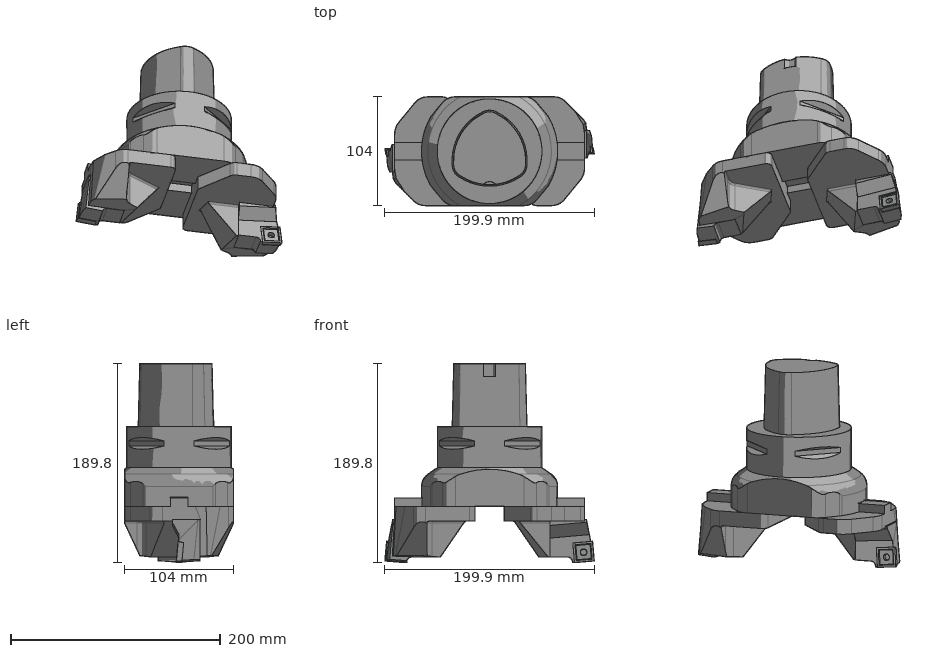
import cadquery as cq
import math


BIG = 300.0

SHANK_LENGTH = 60.0
SHANK_TAPER = math.degrees(math.atan(1 / 40))
LOBE_RADIUS = 13.75
LOBE_OFFSET = 25.4
SIDE_RADIUS = 72.5 - LOBE_RADIUS
NOTCH_RADIUS = 7.5
NOTCH_CENTRE_Y = -36.5
NOTCH_DEPTH = 12.0

FLANGE_RADIUS = 50.0
FLANGE_BOTTOM = -39.2
GRIP_FLOOR = 44.0
GRIP_Z = -16.0
GRIP_FLOOR_WIDTH = 4.8
GRIP_MOUTH_WIDTH = 11.2
GRIP_ANGLES = (45, 135, 225, 315)

HEAD_RADIUS = 65.0
HEAD_CORNER_Z = -49.5
HEAD_ROUNDING = 14.0
HEAD_BOTTOM = -76.0
HALF_WIDTH = 52.0
FACET_DISTANCE = 64.2
FACET_ANGLE = 40.0
CORNER_RADIUS = 16.0

KEY_WIDTH = 16.8
KEY_TOP = -68.0
GROOVE_CLEARANCE = 0.5

PLATE_INNER_X = 13.9
PLATE_OUTER_X = 90.7
PLATE_BOTTOM = -90.2
BEVEL_START_X = 66.6
BEVEL_END_Y = -22.6
BEVEL_END_RADIUS = 18.5
INNER_BEVEL_X = 41.5
INNER_BEVEL_Y = -20.0
INNER_BEVEL_RADIUS = 8.0
INNER_RADIUS = 5.4
BACK_CORNER_SUM = 119.8

ARM_BOTTOM = -124.5
ARM_FRONT_Y = -0.3
SLAB_FRONT_Y = -15.0
ARM_STOCK_X = 97.0
WEB_WALL_X = 59.7
WEB_WALL_Y = 40.3
WEB_ARC_RADIUS = 10.0
WEB_ANGLE = 30.0
WEB_INNER_X = 20.0
WEB_FILLET = 1.8

CARTRIDGE_INNER_X = 57.8
CARTRIDGE_FRONT_Y = -6.5
CARTRIDGE_BACK_Y = 20.0
CARTRIDGE_TOP = -88.5
CARTRIDGE_STOCK_X = 102.0
CARTRIDGE_STOCK_BOTTOM = -132.0
FOOT_X = 78.9
FOOT_ARC_RADIUS = 4.3

INSERT_SIDE = 19.05
INSERT_THICKNESS = 5.5
INSERT_RELIEF = 9.0
INSERT_CENTRE = (89.65, -1.9, -119.55)
INSERT_TILT = 5.0
INSERT_RAKE = 5.4
INSERT_PROUD = 0.3
RECESS_SIDE = 15.2
RECESS_DEPTH = 0.8
RECESS_WALL_TAPER = 45.0
SCREW_HOLE = 6.2


def trim(body, point, normal):
    """Remove everything on the side of a plane that its normal points to."""
    cutter = cq.Workplane(cq.Plane(origin=point, normal=normal)).rect(BIG, BIG).extrude(BIG)
    return body.cut(cutter)


def trim_through(body, p, q, r, kept):
    """Trim with the plane through points p, q and r, leaving the side where `kept` lies."""
    start = cq.Vector(*p)
    normal = (cq.Vector(*q) - start).cross(cq.Vector(*r) - start)
    if normal.dot(cq.Vector(*kept) - start) > 0:
        normal = -normal
    return trim(body, p, normal.toTuple())


def block(x0, x1, y0, y1, z0, z1):
    return cq.Workplane("XY").box(x1 - x0, y1 - y0, z1 - z0, centered=False).translate((x0, y0, z0))


def lobe_point(lobe_angle, arc_angle):
    """Point at arc_angle on the rounded lobe that lies at lobe_angle."""
    a = math.radians(lobe_angle)
    b = math.radians(arc_angle)
    return (
        LOBE_OFFSET * math.cos(a) + LOBE_RADIUS * math.cos(b),
        LOBE_OFFSET * math.sin(a) + LOBE_RADIUS * math.sin(b),
    )


def side_middle(angle):
    reach = SIDE_RADIUS - LOBE_OFFSET
    a = math.radians(angle)
    return (reach * math.cos(a), reach * math.sin(a))


def make_shank():
    outline = cq.Workplane("XY").moveTo(*lobe_point(90, 60))
    for lobe in (90, 210, 330):
        outline = outline.threePointArc(lobe_point(lobe, lobe), lobe_point(lobe, lobe + 30))
        outline = outline.threePointArc(side_middle(lobe + 60), lobe_point(lobe + 120, lobe + 90))
    shank = outline.close().extrude(SHANK_LENGTH, taper=SHANK_TAPER)
    notch = (
        cq.Workplane("XY", origin=(0, NOTCH_CENTRE_Y, SHANK_LENGTH - NOTCH_DEPTH))
        .circle(NOTCH_RADIUS)
        .extrude(NOTCH_DEPTH)
    )
    return shank.cut(notch)


def make_flange():
    flange = cq.Workplane("XY").circle(FLANGE_RADIUS).extrude(FLANGE_BOTTOM)
    mouth = GRIP_MOUTH_WIDTH / 2
    floor = GRIP_FLOOR_WIDTH / 2
    slot = (
        cq.Workplane("XZ")
        .polyline(
            [
                (GRIP_FLOOR, GRIP_Z - floor),
                (FLANGE_RADIUS, GRIP_Z - mouth),
                (FLANGE_RADIUS, GRIP_Z + mouth),
                (GRIP_FLOOR, GRIP_Z + floor),
            ]
        )
        .close()
        .extrude(FLANGE_RADIUS, both=True)
    )
    for angle in GRIP_ANGLES:
        flange = flange.cut(slot.rotate((0, 0, 0), (0, 0, 1), angle))
    return flange


def make_head():
    head = (
        cq.Workplane("XZ")
        .polyline(
            [
                (0, FLANGE_BOTTOM),
                (FLANGE_RADIUS, FLANGE_BOTTOM),
                (HEAD_RADIUS, HEAD_CORNER_Z),
                (HEAD_RADIUS, HEAD_BOTTOM),
                (0, HEAD_BOTTOM),
            ]
        )
        .close()
        .revolve(360, (0, 0, 0), (0, 1, 0))
        .edges(cq.selectors.BoxSelector((-BIG, -BIG, HEAD_CORNER_Z - 1), (BIG, BIG, HEAD_CORNER_Z + 1), True))
        .edges("%CIRCLE")
        .fillet(HEAD_ROUNDING)
    )
    cos_a = math.cos(math.radians(FACET_ANGLE))
    sin_a = math.sin(math.radians(FACET_ANGLE))
    corner_x = (FACET_DISTANCE - HALF_WIDTH * sin_a) / cos_a
    tip_x = FACET_DISTANCE / cos_a
    round_stock = (
        cq.Workplane("XY", origin=(0, 0, HEAD_BOTTOM))
        .circle(HEAD_RADIUS)
        .extrude(BIG)
        .rotate((0, 0, 0), (0, 0, 1), 90)
    )
    tip_angle = math.radians(FACET_ANGLE) - math.acos(FACET_DISTANCE / HEAD_RADIUS)
    tip_y = HEAD_RADIUS * math.sin(tip_angle) + 1
    facet_tips = cq.selectors.BoxSelector((-BIG, -tip_y, -BIG), (BIG, tip_y, BIG))
    envelope = (
        cq.Workplane("XY", origin=(0, 0, HEAD_BOTTOM))
        .polyline(
            [
                (tip_x, 0),
                (corner_x, HALF_WIDTH),
                (-corner_x, HALF_WIDTH),
                (-tip_x, 0),
                (-corner_x, -HALF_WIDTH),
                (corner_x, -HALF_WIDTH),
            ]
        )
        .close()
        .extrude(FLANGE_BOTTOM - HEAD_BOTTOM)
        .edges("|Z and (>Y or <Y)")
        .fillet(CORNER_RADIUS)
        .intersect(round_stock)
        .edges("|Z")
        .edges(facet_tips)
        .fillet(CORNER_RADIUS)
    )
    head = head.intersect(envelope)
    groove_top = KEY_TOP + GROOVE_CLEARANCE
    return head.cut(block(-BIG, BIG, -KEY_WIDTH / 2, KEY_WIDTH / 2, HEAD_BOTTOM, groove_top))


def round_corner(body, x, y, radius):
    """Fillet the vertical edge that stands at (x, y)."""
    near = cq.selectors.BoxSelector((x - 1, y - 1, -BIG), (x + 1, y + 1, BIG))
    return body.edges("|Z").edges(near).fillet(radius)


def make_plate():
    back_corner_x = BACK_CORNER_SUM - HALF_WIDTH
    plate = (
        cq.Workplane("XY", origin=(0, 0, PLATE_BOTTOM))
        .polyline(
            [
                (PLATE_INNER_X, INNER_BEVEL_Y),
                (INNER_BEVEL_X, -HALF_WIDTH),
                (BEVEL_START_X, -HALF_WIDTH),
                (PLATE_OUTER_X, BEVEL_END_Y),
                (PLATE_OUTER_X, BACK_CORNER_SUM - PLATE_OUTER_X),
                (back_corner_x, HALF_WIDTH),
                (PLATE_INNER_X, HALF_WIDTH),
            ]
        )
        .close()
        .extrude(HEAD_BOTTOM - PLATE_BOTTOM)
    )
    plate = round_corner(plate, INNER_BEVEL_X, -HALF_WIDTH, INNER_BEVEL_RADIUS)
    plate = round_corner(plate, BEVEL_START_X, -HALF_WIDTH, CORNER_RADIUS)
    plate = round_corner(plate, PLATE_OUTER_X, BEVEL_END_Y, BEVEL_END_RADIUS)
    plate = round_corner(plate, back_corner_x, HALF_WIDTH, CORNER_RADIUS)
    plate = round_corner(plate, PLATE_INNER_X, HALF_WIDTH, INNER_RADIUS)
    key = block(PLATE_INNER_X, PLATE_OUTER_X, -KEY_WIDTH / 2, KEY_WIDTH / 2, HEAD_BOTTOM, KEY_TOP)
    return plate.union(key)


def make_arm():
    turn = math.radians(90 - WEB_ANGLE)
    arc_x = WEB_WALL_X - WEB_ARC_RADIUS
    arc_middle = (
        arc_x + WEB_ARC_RADIUS * math.cos(turn / 2),
        WEB_WALL_Y - WEB_ARC_RADIUS * math.sin(turn / 2),
    )
    arc_end = (
        arc_x + WEB_ARC_RADIUS * math.cos(turn),
        WEB_WALL_Y - WEB_ARC_RADIUS * math.sin(turn),
    )
    web_inner_y = arc_end[1] - (arc_end[0] - WEB_INNER_X) * math.tan(math.radians(WEB_ANGLE))
    arm = (
        cq.Workplane("XY", origin=(0, 0, ARM_BOTTOM))
        .moveTo(WEB_INNER_X, ARM_FRONT_Y)
        .lineTo(ARM_STOCK_X, ARM_FRONT_Y)
        .lineTo(ARM_STOCK_X, HALF_WIDTH)
        .lineTo(WEB_WALL_X, HALF_WIDTH)
        .lineTo(WEB_WALL_X, WEB_WALL_Y)
        .threePointArc(arc_middle, arc_end)
        .lineTo(WEB_INNER_X, web_inner_y)
        .close()
        .extrude(CARTRIDGE_TOP - ARM_BOTTOM)
    )
    slab = block(WEB_INNER_X, ARM_STOCK_X, SLAB_FRONT_Y, HALF_WIDTH, PLATE_BOTTOM, CARTRIDGE_TOP)
    roots = cq.selectors.BoxSelector(
        (WEB_INNER_X + 1, ARM_FRONT_Y - 1, PLATE_BOTTOM - 0.1),
        (ARM_STOCK_X - 1, HALF_WIDTH - 1, PLATE_BOTTOM + 0.1),
    )
    arm = arm.union(slab).edges(roots).fillet(WEB_FILLET)
    arm = arm.cut(
        block(PLATE_OUTER_X, ARM_STOCK_X, SLAB_FRONT_Y, CARTRIDGE_BACK_Y, ARM_BOTTOM, CARTRIDGE_TOP)
    )
    back_corner_x = BACK_CORNER_SUM - HALF_WIDTH
    arm = trim(arm, (back_corner_x, HALF_WIDTH, 0), (1, 1, 0))
    arm = round_corner(arm, back_corner_x, HALF_WIDTH, CORNER_RADIUS)

    inside = (WEB_WALL_X, 0, PLATE_BOTTOM)
    slope_top = (WEB_WALL_X, HALF_WIDTH, -92.2)
    slope_foot = (WEB_WALL_X, 37.4, -123.2)
    slope_outer_foot = (89.0, 30.9, -123.5)
    arm = trim_through(arm, slope_top, slope_foot, slope_outer_foot, inside)
    underside_start = (WEB_WALL_X, CARTRIDGE_BACK_Y, ARM_BOTTOM)
    underside_outer = (PLATE_OUTER_X, CARTRIDGE_BACK_Y, ARM_BOTTOM + 0.9)
    arm = trim_through(arm, underside_start, slope_foot, underside_outer, inside)
    end_back_top = (23.5, 13.4, PLATE_BOTTOM)
    end_back_foot = (47.3, 26.2, ARM_BOTTOM)
    end_front_top = (28.0, ARM_FRONT_Y, PLATE_BOTTOM)
    below_plate = block(-BIG, BIG, -BIG, BIG, -BIG, PLATE_BOTTOM)
    arm_below = trim_through(
        arm.intersect(below_plate), end_back_top, end_back_foot, end_front_top, inside
    )
    return arm.cut(below_plate).union(arm_below)


def make_slide():
    slide = make_plate().union(make_arm())
    ridge_top = (89.2, 25.8, HEAD_BOTTOM)
    flat_top = (PLATE_OUTER_X, 15.3, HEAD_BOTTOM)
    flat_foot = (PLATE_OUTER_X, 20.4, CARTRIDGE_TOP)
    corner_top = (80.7, BACK_CORNER_SUM - 80.7, HEAD_BOTTOM)
    corner_foot = (90.0, BACK_CORNER_SUM - 90.0, ARM_BOTTOM)
    inside = (0, 0, HEAD_BOTTOM)
    slide = trim_through(slide, ridge_top, flat_top, flat_foot, inside)
    slide = trim_through(slide, ridge_top, corner_top, corner_foot, inside)
    pocket = block(
        CARTRIDGE_INNER_X, BIG, CARTRIDGE_FRONT_Y, CARTRIDGE_BACK_Y, CARTRIDGE_STOCK_BOTTOM, CARTRIDGE_TOP
    )
    return slide.cut(pocket)


TILT = math.radians(INSERT_TILT)
RAKE = math.radians(INSERT_RAKE)
INSERT_PLANE = cq.Plane(
    origin=INSERT_CENTRE,
    xDir=(math.cos(TILT), 0, math.sin(TILT)),
    normal=(-math.sin(TILT) * math.sin(RAKE), -math.cos(RAKE), math.cos(TILT) * math.sin(RAKE)),
)


def make_insert_blank():
    return (
        cq.Workplane(INSERT_PLANE)
        .rect(INSERT_SIDE, INSERT_SIDE)
        .extrude(-INSERT_THICKNESS, taper=INSERT_RELIEF)
    )


def make_insert():
    recess = (
        cq.Workplane(INSERT_PLANE)
        .rect(RECESS_SIDE, RECESS_SIDE)
        .extrude(-RECESS_DEPTH, taper=RECESS_WALL_TAPER)
    )
    hole = cq.Workplane(INSERT_PLANE).circle(SCREW_HOLE / 2).extrude(-INSERT_THICKNESS)
    return make_insert_blank().cut(recess).cut(hole)


def make_cartridge():
    arc_x = FOOT_X - FOOT_ARC_RADIUS
    arc_z = ARM_BOTTOM - FOOT_ARC_RADIUS
    half_chord = FOOT_ARC_RADIUS * math.sqrt(0.5)
    cartridge = (
        cq.Workplane("XZ", origin=(0, CARTRIDGE_FRONT_Y, 0))
        .moveTo(CARTRIDGE_INNER_X, CARTRIDGE_TOP)
        .lineTo(CARTRIDGE_STOCK_X, CARTRIDGE_TOP)
        .lineTo(CARTRIDGE_STOCK_X, CARTRIDGE_STOCK_BOTTOM)
        .lineTo(FOOT_X, CARTRIDGE_STOCK_BOTTOM)
        .lineTo(FOOT_X, arc_z)
        .threePointArc((arc_x + half_chord, arc_z + half_chord), (arc_x, ARM_BOTTOM))
        .lineTo(CARTRIDGE_INNER_X, ARM_BOTTOM)
        .close()
        .extrude(CARTRIDGE_FRONT_Y - CARTRIDGE_BACK_Y)
    )
    cartridge = trim(cartridge, (92.45, 0, CARTRIDGE_TOP), (1, 0, 0.194))
    lower_point = (96.0, 0.65, -106.8)
    back_top = (92.6, 18.0, -89.3)
    back_foot = (97.5, 14.0, -128.0)
    back_edge = (91.9, CARTRIDGE_BACK_Y, -89.3)
    inside = (0, 0, CARTRIDGE_TOP)
    cartridge = trim_through(cartridge, lower_point, back_top, back_foot, inside)
    cartridge = trim_through(cartridge, back_edge, back_top, back_foot, inside)
    cartridge = trim(
        cartridge,
        (INSERT_CENTRE[0], CARTRIDGE_BACK_Y, -127.0),
        (math.sin(TILT), math.tan(math.radians(4)), -math.cos(TILT)),
    )
    slope_top = 28.0
    slope_foot = 16.0
    reach = 40.0
    face_y = INSERT_PROUD
    lean = math.tan(RAKE)
    gullet = (
        cq.Workplane(
            cq.Plane(
                origin=INSERT_CENTRE,
                xDir=(0, 1, 0),
                normal=(math.cos(TILT), 0, math.sin(TILT)),
            )
        )
        .polyline(
            [
                (CARTRIDGE_FRONT_Y - INSERT_CENTRE[1], slope_top),
                (face_y + lean * slope_foot, slope_foot),
                (face_y - lean * reach, -reach),
                (-reach, -reach),
                (-reach, slope_top),
            ]
        )
        .close()
        .extrude(BIG, both=True)
    )
    return cartridge.cut(gullet).cut(make_insert_blank())


holder = make_shank().union(make_flange()).union(make_head())
bodies = [holder.val()]
for part in (make_slide(), make_cartridge(), make_insert()):
    for angle in (0, 180):
        bodies.append(part.val().moved(cq.Location((0, 0, 0), (0, 0, 1), angle)))

result = cq.Compound.makeCompound(bodies)